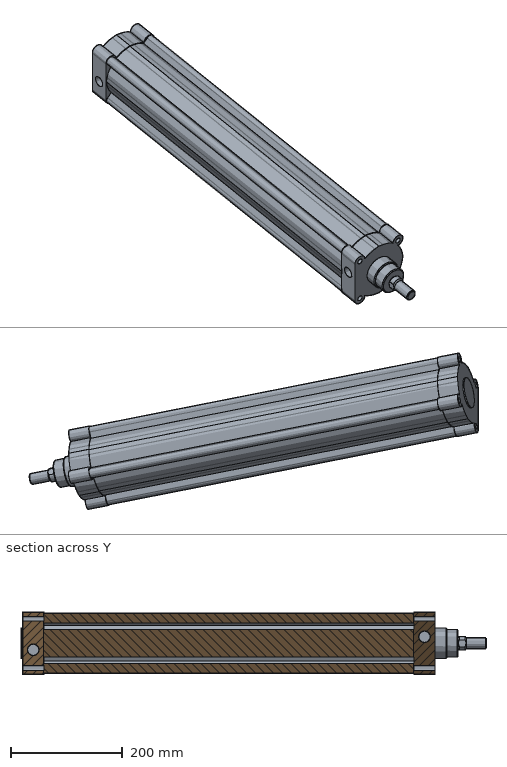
import cadquery as cq
import math


total_length = 833.0
rear_boss_length = 2.5
cap_length = 38.0
barrel_length = 662.0
nose_length = 21.0
nose_tip_length = 20.0
collar_length = 15.0

half_size = 56.0
ridge_height = 1.0

cap_radius = half_size - ridge_height
lug_radius = 12.0
lug_offset = half_size - lug_radius
screw_hole_radius = 5.0
boss_radius = 27.5
port_radius = 10.0
port_depth = 17.0
port_offset = 12.0

barrel_inset = 1.25
barrel_radius = cap_radius - barrel_inset
rib_radius = 8.0
rib_offset = 46.0
rib_foot = 32.0

nose_tip_radius = 25.0
nose_chamfer = 2.0
rod_radius = 10.0
rod_end_chamfer = 2.0
collar_radius = 12.5
collar_chamfer = 2.5
flat_distance = 11.0

rear_cap_start = rear_boss_length
barrel_start = rear_cap_start + cap_length
front_cap_start = barrel_start + barrel_length
nose_start = front_cap_start + cap_length
nose_tip_start = nose_start + nose_length
nose_end = nose_tip_start + nose_tip_length

CORNERS = [(side_y, side_z) for side_y in (-1, 1) for side_z in (-1, 1)]


def cylinder(start, length, radius):
    """Cylinder on the part's axis, from X = start."""
    return cq.Workplane("YZ", origin=(start, 0, 0)).circle(radius).extrude(length)


def ridged_body(start, length, radius):
    """Round body with a shallow tangent ridge on the +Y, +Z, -Y and -Z sides."""
    body = cylinder(start, length, radius)
    apex_height = radius + ridge_height
    half_angle = math.acos(radius / apex_height)
    tangent_height = radius * math.cos(half_angle)
    tangent_half_width = radius * math.sin(half_angle)
    ridge = (
        cq.Workplane("YZ", origin=(start, 0, 0))
        .polyline([
            (0, 0),
            (tangent_half_width, tangent_height),
            (0, apex_height),
            (-tangent_half_width, tangent_height),
        ])
        .close()
        .extrude(length)
    )
    for quarter in range(4):
        body = body.union(ridge.rotate((0, 0, 0), (1, 0, 0), 90 * quarter))
    return body


def make_cap(start, port_z):
    """End cap: ridged body, four corner lugs, a flat -Y side with a port, screw holes."""
    lug_centers = [(y * lug_offset, z * lug_offset) for y, z in CORNERS]
    section = cq.Workplane("YZ", origin=(start, 0, 0))
    lugs = section.pushPoints(lug_centers).circle(lug_radius).extrude(cap_length)
    flat_side = (
        section.center(-(half_size + lug_offset) / 2, 0)
        .rect(half_size - lug_offset, 2 * lug_offset)
        .extrude(cap_length)
    )
    screw_holes = section.pushPoints(lug_centers).circle(screw_hole_radius).extrude(cap_length)
    port = (
        cq.Workplane("XZ", origin=(start + cap_length / 2, -half_size, port_z))
        .circle(port_radius)
        .extrude(-port_depth)
    )
    body = ridged_body(start, cap_length, cap_radius).union(lugs).union(flat_side)
    return body.cut(screw_holes).cut(port)


def make_rear_cap():
    """Rear cap with a low round boss on its outer face."""
    return make_cap(rear_cap_start, -port_offset).union(cylinder(0, rear_cap_start, boss_radius))


def make_rib():
    """Corner rib at +Y +Z: a rounded crest whose two flanks run tangent to the crest."""
    foot_height = math.sqrt(barrel_radius**2 - rib_foot**2)
    foot_dy = rib_foot - rib_offset
    foot_dz = foot_height - rib_offset
    foot_reach = math.hypot(foot_dy, foot_dz)
    tangent_angle = math.atan2(foot_dz, foot_dy) - math.acos(rib_radius / foot_reach)
    tangent_y = rib_offset + rib_radius * math.cos(tangent_angle)
    tangent_z = rib_offset + rib_radius * math.sin(tangent_angle)
    crest = rib_offset + rib_radius * math.sqrt(0.5)
    return (
        cq.Workplane("YZ", origin=(barrel_start, 0, 0))
        .moveTo(0, 0)
        .lineTo(rib_foot, foot_height)
        .lineTo(tangent_y, tangent_z)
        .threePointArc((crest, crest), (tangent_z, tangent_y))
        .lineTo(foot_height, rib_foot)
        .close()
        .extrude(barrel_length)
    )


def make_barrel():
    """Barrel: ridged body with a rib along each corner."""
    barrel = ridged_body(barrel_start, barrel_length, barrel_radius)
    rib = make_rib()
    for quarter in range(4):
        barrel = barrel.union(rib.rotate((0, 0, 0), (1, 0, 0), 90 * quarter))
    return barrel


def make_front_cap():
    """Front cap with a stepped nose, bored through for the rod."""
    nose = cylinder(nose_start, nose_length, boss_radius).faces(">X").chamfer(nose_chamfer)
    nose_tip = cylinder(nose_tip_start, nose_tip_length, nose_tip_radius)
    nose_tip = nose_tip.faces(">X").chamfer(nose_chamfer)
    cap = make_cap(front_cap_start, port_offset).union(nose).union(nose_tip)
    return cap.cut(cylinder(front_cap_start, nose_end - front_cap_start, rod_radius))


def make_rod():
    """Rod through the front cap, with a chamfered collar that has flats facing -Y and +Y."""
    shaft = cylinder(front_cap_start, total_length - front_cap_start, rod_radius)
    shaft = shaft.faces(">X").chamfer(rod_end_chamfer)
    collar = cylinder(nose_end, collar_length, collar_radius).faces("<X or >X").chamfer(collar_chamfer)
    across_flats = (
        cq.Workplane("YZ", origin=(nose_end, 0, 0))
        .rect(2 * flat_distance, 2 * collar_radius)
        .extrude(collar_length)
    )
    return shaft.union(collar.intersect(across_flats))


rear_cap = make_rear_cap()
barrel = make_barrel()
front_cap = make_front_cap()
rod = make_rod()

result = cq.Compound.makeCompound([rear_cap.val(), barrel.val(), front_cap.val(), rod.val()])